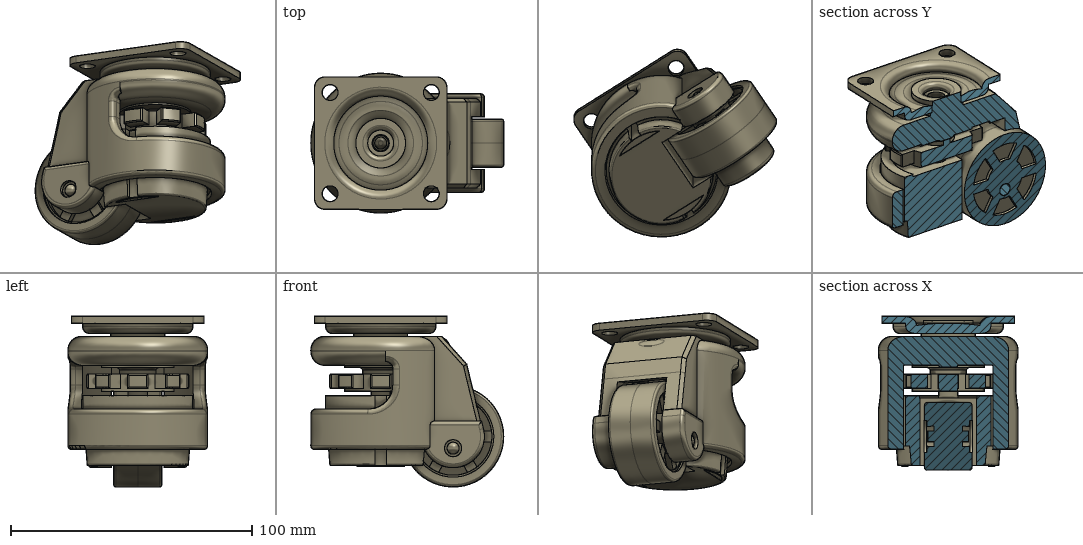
import cadquery as cq
import math


PLATE_TOP = 70.8
PLATE_SIZE = 55.0
PLATE_THICK = 3.0
PLATE_CORNER = 4.5
BOLT_PITCH = 41.9
BOLT_DIA = 6.5
DISH_BOTTOM = 63.6
DISH_RADIUS = 22.9
DISH_EDGE = 3.0
MOUTH_RADIUS = 23.2
GROOVE_RADIUS = 19.5
RIDGE_OUTER = 17.3
RIDGE_INNER = 13.6
RIDGE_OUTER_RISE = 0.4
RIDGE_MIDDLE_RISE = 0.75
RIDGE_INNER_RISE = 0.8
DISH_CENTRE_DROP = 0.2

BODY_RADIUS = 29.0
BODY_BOTTOM = 15.6
BODY_EDGE = 1.6
BODY_TOP = 62.5
RIM_BOTTOM = 50.4
RIM_ROUND = 5.8
BORE_RADIUS = 23.4
NECK_RADIUS = 11.2
BOSS_RADIUS = 10.3
BOSS_TOP = 69.0
CUP_RADIUS = 5.4
CUP_FLARE = 2.0
CUP_FLOOR = 66.1
GUIDE_DIA = 7.1
CEILING_PAD_RADIUS = 15.0
CEILING_PAD_BOTTOM = 49.6

OPENING_BOTTOM = 32.4
OPENING_END = 5.0
OPENING_RADIUS = 10.0
OPENING_TOP_RADIUS = 3.0
OPENING_ARC_TOP = 49.0
LIP_ROUND = 2.2

ARM_HALF_WIDTH = 18.5
ARM_START = 10.0
ROOF_CHAMFER = 1.5
ARM_TOP_END = 25.2
ARM_SHOULDER = (35.7, 50.9)
ROOF_END = (37.3, 44.1)
ARM_TOE = (42.4, 23.0)
LOBE_RADIUS = 13.0
LOBE_HALF_WIDTH = 20.5
LOBE_TOP = 27.3
LOBE_CORNER = (41.8, LOBE_TOP)
LOBE_ROUND = 1.6
FORK_GAP = 21.8
FORK_CLEARANCE = 1.5
FORK_CEILING = 49.5

WHEEL_RADIUS = 21.0
WHEEL_X = 30.0
WHEEL_WIDTH = 20.0
WHEEL_EDGE = 1.0
RIM_INNER = 16.9
RIM_LIP = 0.8
RIM_LIP_DEPTH = 1.0
HUB_RADIUS = 9.0
POCKET_DEPTH = 4.0
SPOKE_COUNT = 6
SPOKE_WIDTH = 4.5
SPOKE_DEPTH = 1.5

PIN_DIA = 5.0
PIN_Z = 16.1
PIN_DOME = 1.6
PIN_RECESS_DIA = 7.1
PIN_RECESS_DEPTH = 1.8
PIN_TIP = 20.2

STEM_RADIUS = 4.0
GUIDE_STEM_RADIUS = 3.5
GUIDE_STEM_TOP = 57.0
GUIDE_STEM_CHAMFER = 0.3
STEM_DOME_ROUND = 1.5
COLLAR_RADIUS = 7.5
COLLAR_TOP = 48.6
DIAL_TOP = 46.8
DIAL_BOTTOM = 39.7
DIAL_HUB_RADIUS = 15.0
TOOTH_COUNT = 8
TOOTH_WIDTH = 8.4
TOOTH_TIP = 21.3
TOOTH_BOTTOM = 40.9
TOOTH_EDGE = 0.5
FOOT_TOP = 37.9
FOOT_RADIUS = 22.9
FOOT_SHOULDER = 17.0
CUP_TOP_RADIUS = 21.7
CUP_BOTTOM_RADIUS = 21.1
FOOT_BOTTOM = 8.9
FOOT_EDGE = 0.6
FOOT_RECESS_RADIUS = 18.7
FOOT_RECESS_DEPTH = 1.0
KEYWAY_WIDTH = 4.6
KEYWAY_FLOOR = 19.3
FOOT_CUT_START = 8.0
FOOT_CUT_WIDTH = 23.4
PAD_OUTER = 19.3
PAD_INNER_Y = 16.6
PAD_HEIGHT = 0.4


def cylinder(radius, bottom, top):
    """Solid cylinder on the swivel axis."""
    return cq.Workplane("XY").workplane(offset=bottom).circle(radius).extrude(top - bottom)


def cross_cylinder(x, z, radius, half_length):
    """Solid cylinder parallel to Y, centred on the mid plane."""
    return cq.Workplane("XZ").center(x, z).circle(radius).extrude(half_length, both=True)


def block(x0, x1, width, z0, z1):
    """Box that is symmetric about the mid plane."""
    size = (x1 - x0, width, z1 - z0)
    return cq.Workplane("XY").box(*size, centered=(False, True, False)).translate((x0, 0, z0))


def make_plate():
    """Square plate with a pressed central dish that sits on the housing neck."""
    flat = (
        cq.Workplane("XY").workplane(offset=PLATE_TOP - PLATE_THICK)
        .rect(PLATE_SIZE, PLATE_SIZE).extrude(PLATE_THICK)
        .edges("|Z").fillet(PLATE_CORNER)
    )
    dish = cylinder(DISH_RADIUS, DISH_BOTTOM, PLATE_TOP - 1).faces("<Z").edges().fillet(DISH_EDGE)
    lip = MOUTH_RADIUS - GROOVE_RADIUS
    groove = PLATE_TOP - lip
    diagonal = lip * math.sqrt(0.5)
    ridge_middle = (RIDGE_OUTER + RIDGE_INNER) / 2
    centre = groove - DISH_CENTRE_DROP
    hollow = (
        cq.Workplane("XZ")
        .moveTo(0, PLATE_TOP).lineTo(MOUTH_RADIUS, PLATE_TOP)
        .threePointArc((MOUTH_RADIUS - diagonal, groove + diagonal), (GROOVE_RADIUS, groove))
        .lineTo(RIDGE_OUTER, groove + RIDGE_OUTER_RISE)
        .threePointArc((ridge_middle, groove + RIDGE_MIDDLE_RISE),
                       (RIDGE_INNER, groove + RIDGE_INNER_RISE))
        .lineTo(BOSS_RADIUS, centre).lineTo(0, centre)
        .close().revolve(360, (0, 0, 0), (0, 1, 0))
    )
    plate = flat.union(dish).cut(hollow).cut(cylinder(BOSS_RADIUS, DISH_BOTTOM, PLATE_TOP))
    bolts = (
        cq.Workplane("XY").workplane(offset=DISH_BOTTOM)
        .rect(BOLT_PITCH, BOLT_PITCH, forConstruction=True).vertices()
        .circle(BOLT_DIA / 2).extrude(PLATE_TOP - DISH_BOTTOM)
    )
    return plate.cut(bolts)


def make_drum():
    """Outer drum of the housing, open on the -X side, with its rounded top rim."""
    rim_middle = (RIM_BOTTOM + BODY_TOP) / 2
    drum = cylinder(BODY_RADIUS, BODY_BOTTOM, rim_middle).faces("<Z").edges().fillet(BODY_EDGE)
    far = -BODY_RADIUS - 1
    bend = math.sqrt(0.5)
    side_x = OPENING_END - OPENING_RADIUS
    bend_z = OPENING_BOTTOM + OPENING_RADIUS
    top_x = OPENING_END - OPENING_TOP_RADIUS
    opening = (
        cq.Workplane("XZ")
        .moveTo(far, OPENING_BOTTOM).lineTo(side_x, OPENING_BOTTOM)
        .threePointArc((side_x + OPENING_RADIUS * bend, bend_z - OPENING_RADIUS * bend),
                       (OPENING_END, bend_z))
        .lineTo(OPENING_END, OPENING_ARC_TOP)
        .threePointArc((top_x + OPENING_TOP_RADIUS * bend, OPENING_ARC_TOP + OPENING_TOP_RADIUS * bend),
                       (top_x, OPENING_ARC_TOP + OPENING_TOP_RADIUS))
        .lineTo(top_x, rim_middle).lineTo(far, rim_middle).close()
        .extrude(BODY_RADIUS + 1, both=True)
    )
    drum = drum.cut(opening)
    lip_box = cq.selectors.BoxSelector(
        (far, far, OPENING_BOTTOM - 1), (OPENING_END + 1, -far, OPENING_ARC_TOP + 1))
    drum = drum.edges(lip_box).edges("not |Y").fillet(LIP_ROUND)
    rim = cylinder(BODY_RADIUS, RIM_BOTTOM, BODY_TOP).faces("<Z or >Z").edges().fillet(RIM_ROUND)
    return drum.union(rim)


def make_arm():
    """Solid fork arm with its sloping roof and the round lobes around the wheel axis."""
    arm = (
        cq.Workplane("XZ")
        .moveTo(ARM_START, BODY_BOTTOM).lineTo(ARM_START, BODY_TOP).lineTo(ARM_TOP_END, BODY_TOP)
        .lineTo(*ARM_SHOULDER).lineTo(*ROOF_END).lineTo(*ARM_TOE)
        .lineTo(WHEEL_X, BODY_BOTTOM).close()
        .extrude(ARM_HALF_WIDTH, both=True)
    )
    roof_box = cq.selectors.BoxSelector(
        (ARM_TOP_END, -BODY_RADIUS, ARM_TOE[1] + 1), (ARM_TOE[0], BODY_RADIUS, BODY_TOP - 1))
    arm = arm.edges(roof_box).edges("not |Y").chamfer(ROOF_CHAMFER)
    rise = LOBE_CORNER[1] - WHEEL_RADIUS
    reach = LOBE_CORNER[0] - WHEEL_X
    tangent = math.atan2(rise, reach) - math.acos(LOBE_RADIUS / math.hypot(rise, reach))
    tangent_point = (WHEEL_X + LOBE_RADIUS * math.cos(tangent),
                     WHEEL_RADIUS + LOBE_RADIUS * math.sin(tangent))
    lobe_start = WHEEL_X - LOBE_RADIUS
    lobe = (
        cq.Workplane("XZ")
        .moveTo(lobe_start, LOBE_TOP).lineTo(lobe_start, WHEEL_RADIUS)
        .threePointArc((WHEEL_X, WHEEL_RADIUS - LOBE_RADIUS), tangent_point)
        .lineTo(*LOBE_CORNER).close()
        .extrude(LOBE_HALF_WIDTH, both=True)
    )
    lobe = lobe.faces("<Y or >Y").edges().fillet(LOBE_ROUND)
    return arm.union(lobe)


def make_housing():
    """Drum and fork in one casting, with the neck on top that carries the plate."""
    housing = make_drum().union(make_arm())
    housing = housing.union(cylinder(NECK_RADIUS, BODY_TOP - 1, DISH_BOTTOM))
    housing = housing.union(cylinder(BOSS_RADIUS, BODY_TOP - 1, BOSS_TOP))
    housing = housing.cut(cylinder(BORE_RADIUS, BODY_BOTTOM, RIM_BOTTOM))
    pad = (
        cq.Workplane("XZ").moveTo(0, RIM_BOTTOM).lineTo(CEILING_PAD_RADIUS, RIM_BOTTOM)
        .lineTo(CEILING_PAD_RADIUS, CEILING_PAD_BOTTOM)
        .lineTo(COLLAR_RADIUS + CEILING_PAD_BOTTOM - COLLAR_TOP, CEILING_PAD_BOTTOM)
        .lineTo(COLLAR_RADIUS, COLLAR_TOP).lineTo(0, COLLAR_TOP).close()
        .revolve(360, (0, 0, 0), (0, 1, 0))
    )
    slot = cross_cylinder(WHEEL_X, WHEEL_RADIUS, WHEEL_RADIUS + FORK_CLEARANCE, FORK_GAP / 2)
    slot = slot.union(block(0, WHEEL_X, FORK_GAP, BODY_BOTTOM, FORK_CEILING))
    housing = housing.cut(slot).union(pad)
    cup = (
        cq.Workplane("XZ").moveTo(0, CUP_FLOOR).lineTo(CUP_RADIUS, CUP_FLOOR)
        .lineTo(CUP_RADIUS, BOSS_TOP - CUP_FLARE)
        .radiusArc((CUP_RADIUS + CUP_FLARE, BOSS_TOP), CUP_FLARE)
        .lineTo(0, BOSS_TOP).close().revolve(360, (0, 0, 0), (0, 1, 0))
    )
    housing = housing.cut(cup).cut(cylinder(GUIDE_DIA / 2, COLLAR_TOP, BOSS_TOP))
    housing = housing.cut(cross_cylinder(WHEEL_X, PIN_Z, PIN_DIA / 2, LOBE_HALF_WIDTH))
    recess = cross_cylinder(WHEEL_X, PIN_Z, PIN_RECESS_DIA / 2, LOBE_HALF_WIDTH)
    recess = recess.cut(
        cross_cylinder(WHEEL_X, PIN_Z, PIN_RECESS_DIA, LOBE_HALF_WIDTH - PIN_RECESS_DEPTH))
    return housing.cut(recess)


def make_wheel():
    """Wheel with spoked recesses in both faces."""
    half = WHEEL_WIDTH / 2
    wheel = cross_cylinder(WHEEL_X, WHEEL_RADIUS, WHEEL_RADIUS, half)
    wheel = wheel.faces("<Y or >Y").edges().fillet(WHEEL_EDGE)
    for side in (-1, 1):
        face = cq.Workplane("XZ", origin=(WHEEL_X, side * half, WHEEL_RADIUS))
        wheel = wheel.cut(face.circle(RIM_INNER).circle(HUB_RADIUS).extrude(side * RIM_LIP_DEPTH))
        pocket = face.circle(RIM_INNER - RIM_LIP).circle(HUB_RADIUS).extrude(side * POCKET_DEPTH)
        spokes = (
            face.polarArray(0.5 * (RIM_INNER + HUB_RADIUS), 0, 360, SPOKE_COUNT)
            .rect(RIM_INNER, SPOKE_WIDTH).extrude(side * POCKET_DEPTH)
        )
        above_spokes = face.circle(RIM_INNER).extrude(side * SPOKE_DEPTH)
        wheel = wheel.cut(pocket.cut(spokes.cut(above_spokes)))
    return wheel.cut(cross_cylinder(WHEEL_X, PIN_Z, PIN_DIA / 2, half))


def make_pin():
    """Pin across the fork with a dome on each end."""
    radius = PIN_DIA / 2
    shank = PIN_TIP - PIN_DOME
    dome_sphere = (radius ** 2 + PIN_DOME ** 2) / (2 * PIN_DOME)
    return (
        cq.Workplane("XY", origin=(WHEEL_X, 0, PIN_Z))
        .moveTo(0, -PIN_TIP).radiusArc((radius, -shank), -dome_sphere)
        .lineTo(radius, shank).radiusArc((0, PIN_TIP), -dome_sphere)
        .close().revolve(360, (0, 0, 0), (0, 1, 0))
    )


def make_foot():
    """Foot with a recessed top, two keyways and a clearance cut for the wheel."""
    cup = (
        cq.Workplane("XZ").moveTo(0, FOOT_BOTTOM).lineTo(CUP_BOTTOM_RADIUS, FOOT_BOTTOM)
        .lineTo(CUP_TOP_RADIUS, FOOT_SHOULDER).lineTo(0, FOOT_SHOULDER).close()
        .revolve(360, (0, 0, 0), (0, 1, 0))
    )
    cup = cup.faces("<Z").edges().fillet(FOOT_EDGE)
    foot = cup.union(cylinder(FOOT_RADIUS, FOOT_SHOULDER, FOOT_TOP))
    foot = foot.cut(cylinder(FOOT_RECESS_RADIUS, FOOT_TOP - FOOT_RECESS_DEPTH, FOOT_TOP))
    pad = cylinder(PAD_OUTER, FOOT_BOTTOM - PAD_HEIGHT, FOOT_BOTTOM)
    pad = pad.cut(block(-FOOT_RADIUS, FOOT_RADIUS, 2 * PAD_INNER_Y, 0, FOOT_TOP))
    foot = foot.union(pad)
    for side in (-1, 1):
        keyway = cq.Workplane("XY").box(KEYWAY_WIDTH, FOOT_RADIUS, FOOT_TOP, centered=(True, True, False))
        foot = foot.cut(keyway.translate((0, side * (KEYWAY_FLOOR + FOOT_RADIUS / 2), 0)))
    return foot.cut(block(FOOT_CUT_START, FOOT_RADIUS + 1, FOOT_CUT_WIDTH, 0, FOOT_TOP))


def make_dial():
    """Toothed dial that is turned by hand."""
    dial = cylinder(DIAL_HUB_RADIUS, DIAL_BOTTOM, DIAL_TOP)
    tooth = block(0, TOOTH_TIP + 1, TOOTH_WIDTH, TOOTH_BOTTOM, DIAL_TOP)
    tooth = tooth.intersect(cylinder(TOOTH_TIP, TOOTH_BOTTOM, DIAL_TOP))
    tooth = tooth.faces(cq.selectors.BoxSelector((TOOTH_TIP - 1, -1, 0), (TOOTH_TIP + 1, 1, BODY_TOP)))
    tooth = tooth.edges().chamfer(TOOTH_EDGE)
    for index in range(TOOTH_COUNT):
        dial = dial.union(tooth.rotate((0, 0, 0), (0, 0, 1), index * 360 / TOOTH_COUNT))
    return dial


def make_leveller():
    """Foot, stem and dial as one piece, guided in the hole of the housing."""
    collar = cylinder(COLLAR_RADIUS, DIAL_TOP, COLLAR_TOP)
    stem = cylinder(STEM_RADIUS, FOOT_TOP - FOOT_RECESS_DEPTH, DIAL_BOTTOM)
    guide = cylinder(GUIDE_STEM_RADIUS, COLLAR_TOP, GUIDE_STEM_TOP)
    guide = guide.faces(">Z").edges().chamfer(GUIDE_STEM_CHAMFER)
    dome = cylinder(PIN_DIA / 2, GUIDE_STEM_TOP, GUIDE_STEM_TOP + PIN_DOME)
    dome = dome.faces(">Z").edges().fillet(STEM_DOME_ROUND)
    return make_foot().union(stem).union(make_dial()).union(collar).union(guide).union(dome)


plate = make_plate()
housing = make_housing()
wheel = make_wheel()
pin = make_pin()
leveller = make_leveller()

result = cq.Compound.makeCompound(
    [plate.val(), housing.val(), wheel.val(), pin.val(), leveller.val()])